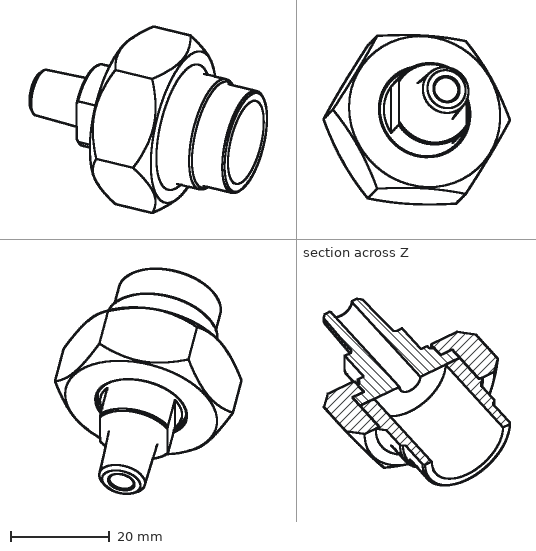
import cadquery as cq
import math

OVERALL_LENGTH = 46.5
TIP_X = -OVERALL_LENGTH / 2
TAIL_END_X = OVERALL_LENGTH / 2
STEM_SHOULDER_X = TIP_X + 11.95
NUT_FRONT_X = TIP_X + 18.93
NUT_WIDTH = 13.62
NUT_BACK_X = NUT_FRONT_X + NUT_WIDTH
TAIL_STEP_X = TIP_X + 39.55

HEX_ACROSS_FLATS = 32.0
HEX_ACROSS_CORNERS = HEX_ACROSS_FLATS / math.cos(math.pi / 6)
HEX_FACE_DIAMETER = 31.55
NUT_LIP_BORE = 18.5
NUT_LIP_LENGTH = 3.7
NUT_LIP_CHAMFER = 0.3
NUT_CAVITY_DIAMETER = 24.15
CAVITY_X = NUT_FRONT_X + NUT_LIP_LENGTH

BORE_DIAMETER = 5.0
BORE_CHAMFER = 0.25
NOSE_DIAMETER = 9.55
NOSE_CHAMFER = 0.8
NOSE_TAPER = 1 / 16
NECK_FILLET = 0.7
STEM_DIAMETER = 17.0
STEM_CHAMFER = 0.33
FLATS_WIDTH = 14.0
ROOT_FILLET_SETBACK = 0.45
FLANGE_THICKNESS = 2.8
FLANGE_BACK_X = CAVITY_X + FLANGE_THICKNESS

SHOULDER_DIAMETER = 26.15
COLLAR_DIAMETER = 23.0
TAIL_DIAMETER = 21.3
TAIL_BORE = 17.3
TAIL_FILLET = 0.4
COLLAR_CHAMFER = (COLLAR_DIAMETER - TAIL_DIAMETER) / 2 - TAIL_FILLET
TAIL_END_CHAMFER = 0.35


def revolve_about_x(profile):
    """Revolve a closed half-profile, drawn as (x, radius), about the X axis."""
    return profile.close().revolve(360, (0, 0, 0), (1, 0, 0))


def cylinder_x(diameter, start, end):
    """Cylinder on the X axis between two X positions."""
    return cq.Workplane("YZ").workplane(offset=start).circle(diameter / 2).extrude(end - start)


def quarter_arc_middle(center_x, center_radius, arc_radius, x_sign):
    """Middle point of a fillet arc that faces the axis."""
    offset = arc_radius * math.sqrt(0.5)
    return (center_x + x_sign * offset, center_radius - offset)


def make_nut():
    hexagon = (
        cq.Workplane("YZ")
        .workplane(offset=NUT_FRONT_X)
        .polygon(6, HEX_ACROSS_CORNERS)
        .extrude(NUT_WIDTH)
    )
    corner_chamfer = (HEX_ACROSS_CORNERS - HEX_FACE_DIAMETER) / 2
    blank = cylinder_x(HEX_ACROSS_CORNERS, NUT_FRONT_X, NUT_BACK_X)
    corner_trim = blank.edges("%CIRCLE").chamfer(corner_chamfer)
    lip_bore = cylinder_x(NUT_LIP_BORE, NUT_FRONT_X, CAVITY_X)
    cavity = cylinder_x(NUT_CAVITY_DIAMETER, CAVITY_X, NUT_BACK_X)
    nut = hexagon.intersect(corner_trim).cut(lip_bore).cut(cavity)
    lip_edge = cq.selectors.RadiusNthSelector(0)
    return nut.faces("<X").edges(lip_edge).chamfer(NUT_LIP_CHAMFER)


def make_stem():
    bore_radius = BORE_DIAMETER / 2
    nose_radius = NOSE_DIAMETER / 2
    stem_radius = STEM_DIAMETER / 2
    journal_radius = NUT_LIP_BORE / 2
    flange_radius = NUT_CAVITY_DIAMETER / 2
    nose_start = TIP_X + NOSE_CHAMFER
    neck_start = STEM_SHOULDER_X - NECK_FILLET
    neck_radius = nose_radius + (neck_start - nose_start) * NOSE_TAPER / 2
    neck_top_radius = neck_radius + NECK_FILLET
    root_start = NUT_FRONT_X + ROOT_FILLET_SETBACK
    root_fillet = journal_radius - stem_radius
    profile = (
        cq.Workplane("XY")
        .moveTo(TIP_X, bore_radius + BORE_CHAMFER)
        .lineTo(TIP_X, nose_radius - NOSE_CHAMFER)
        .lineTo(nose_start, nose_radius)
        .lineTo(neck_start, neck_radius)
        .threePointArc(
            quarter_arc_middle(neck_start, neck_top_radius, NECK_FILLET, 1),
            (STEM_SHOULDER_X, neck_top_radius),
        )
        .lineTo(STEM_SHOULDER_X, stem_radius - STEM_CHAMFER)
        .lineTo(STEM_SHOULDER_X + STEM_CHAMFER, stem_radius)
        .lineTo(root_start, stem_radius)
        .threePointArc(
            quarter_arc_middle(root_start, journal_radius, root_fillet, 1),
            (root_start + root_fillet, journal_radius),
        )
        .lineTo(CAVITY_X, journal_radius)
        .lineTo(CAVITY_X, flange_radius)
        .lineTo(FLANGE_BACK_X, flange_radius)
        .lineTo(FLANGE_BACK_X, bore_radius)
        .lineTo(TIP_X + BORE_CHAMFER, bore_radius)
    )
    return cut_wrench_flats(revolve_about_x(profile), neck_start)


def cut_wrench_flats(stem, start):
    cutter_depth = STEM_DIAMETER / 2
    for side in (-1, 1):
        center_y = side * (FLATS_WIDTH + cutter_depth) / 2
        cutter = cq.Workplane("XY").box(NUT_FRONT_X - start, cutter_depth, STEM_DIAMETER)
        stem = stem.cut(cutter.translate(((start + NUT_FRONT_X) / 2, center_y, 0)))
    return stem


def make_tail():
    bore_radius = TAIL_BORE / 2
    shank_radius = NUT_CAVITY_DIAMETER / 2
    shoulder_radius = SHOULDER_DIAMETER / 2
    collar_radius = COLLAR_DIAMETER / 2
    tail_radius = TAIL_DIAMETER / 2
    cone_end_radius = collar_radius + TAIL_FILLET * (1 - math.sqrt(0.5))
    cone_end_x = NUT_BACK_X + shoulder_radius - cone_end_radius
    collar_start_x = cone_end_x + TAIL_FILLET * math.sqrt(0.5)
    cone_arc_middle = (
        collar_start_x - TAIL_FILLET * math.sin(math.pi / 8),
        collar_radius + TAIL_FILLET * (1 - math.cos(math.pi / 8)),
    )
    tail_start_x = TAIL_STEP_X + TAIL_FILLET
    step_radius = tail_radius + TAIL_FILLET
    profile = (
        cq.Workplane("XY")
        .moveTo(FLANGE_BACK_X, bore_radius)
        .lineTo(FLANGE_BACK_X, shank_radius)
        .lineTo(NUT_BACK_X, shank_radius)
        .lineTo(NUT_BACK_X, shoulder_radius)
        .lineTo(cone_end_x, cone_end_radius)
        .threePointArc(cone_arc_middle, (collar_start_x, collar_radius))
        .lineTo(TAIL_STEP_X - COLLAR_CHAMFER, collar_radius)
        .lineTo(TAIL_STEP_X, step_radius)
        .threePointArc(
            quarter_arc_middle(tail_start_x, step_radius, TAIL_FILLET, -1),
            (tail_start_x, tail_radius),
        )
        .lineTo(TAIL_END_X - TAIL_END_CHAMFER, tail_radius)
        .lineTo(TAIL_END_X, tail_radius - TAIL_END_CHAMFER)
        .lineTo(TAIL_END_X, bore_radius)
    )
    return revolve_about_x(profile)


nut = make_nut()
stem = make_stem()
tail = make_tail()

result = cq.Compound.makeCompound([nut.solids().val(), stem.solids().val(), tail.val()])